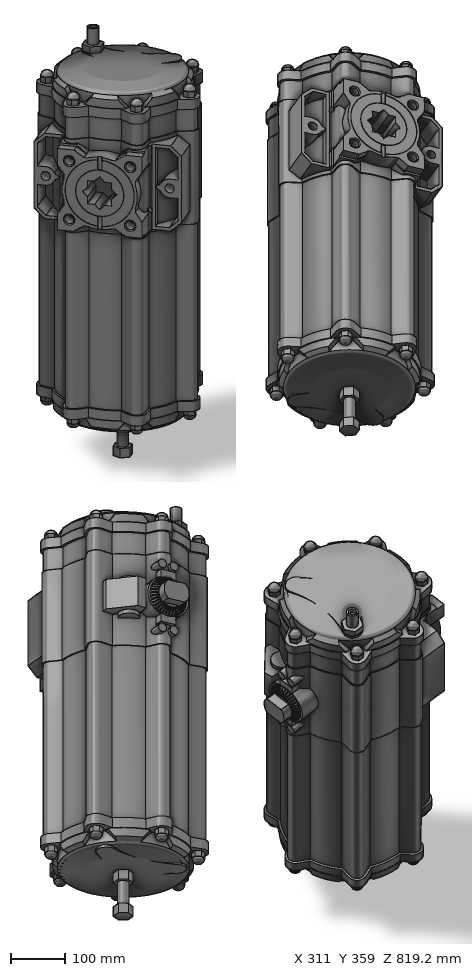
import cadquery as cq
import math


PIN_TOP = 234.8
OVERALL_HEIGHT = 819.2
ROD_BOTTOM = PIN_TOP - OVERALL_HEIGHT
BODY_TOP = 137.0
FLANGE_THICKNESS = 20.0
BODY_BOTTOM = -444.5
BODY_MIDDLE = (BODY_TOP + BODY_BOTTOM) / 2
BAND_HALF_HEIGHT = 93.0

BOLT_COUNT = 7
BOLT_CIRCLE_RADIUS = 140.0
BODY_LOBE_RADIUS = 14.4
BODY_RADIUS = 128.0
BAND_STEP = 2.4
FLANGE_STEP = 4.6
SCALLOP_HALF_WIDTH = 31.0

COVER_SEAT = BODY_TOP + FLANGE_THICKNESS
BLOCK_RADIUS = 130.5
BLOCK_HEIGHT = 17.0
DOME_RADIUS = 122.0
DOME_WALL_HEIGHT = 23.0
DOME_SHOULDER_RADIUS = 115.0
DOME_SHOULDER_HEIGHT = 28.0
DOME_ROUND_BULGE = 1.2
PLATEAU_RADIUS = 73.7
COVER_HEIGHT = 32.0
RECESS_SEAT_RADIUS = 21.0
RECESS_TOP_RADIUS = 39.0
EAR_X = 74.5
EAR_Y = 65.3
EAR_RADIUS = 20.0
EAR_TIP_ANGLE = 30.0
EAR_DEPTH = 8.0
EAR_FOOT = (65.0, 32.0)
EAR_BRIDGE_Y = 71.0

CAP_NUT_FLATS = 21.0
CAP_NUT_HEX_HEIGHT = 12.0
CAP_NUT_DOME_RADIUS = 12.0
CAP_NUT_DOME_HEIGHT = 10.5
STUD_DIAMETER = 22.0
PIN_NUT_FLATS = 36.0
PIN_NUT_HEIGHT = 13.0
PIN_SOCKET_DIAMETER = 14.95
PIN_SOCKET_DEPTH = 10.0
ROD_NUT_FLATS = 32.0
ROD_NUT_HEIGHT = 20.0
ROD_HEAD_HEIGHT = 19.0

DRIVE_FACE_Y = -164.5
STEP_Y = -146.5
PLATE_BACK_Y = -116.0
PAD_BACK_Y = -90.0
PLATE_HALF = 81.0
DISC_RADIUS = 72.0
CORNER_INNER = 49.0
CORNER_FOOT = 30.0
DISC_FLAT_END = 23.0
PAD_MARGIN = 4.0
FLANGE_HOLE_OFFSET = 58.3
FLANGE_HOLE_DIAMETER = 17.5
FLANGE_HOLE_MOUTH = 22.0
FLANGE_HOLE_DEPTH = 30.0
RING_OUTER_DIAMETER = 132.0
RING_INNER_DIAMETER = 92.0
RING_DEPTH = 1.0
SLOT_WIDTH = 8.0
SLOT_END = 73.5
SLOT_DEPTH = 3.0
STAR_SQUARE = 46.0
STAR_DEPTH = 60.0

BRACKET_FRONT_Y = -107.5
BRACKET_BACK_Y = -31.0
BRACKET_OUTER_X = 141.0
BRACKET_INNER_X = 85.0
BRACKET_HALF_HEIGHT = 85.0
BRACKET_CHAMFER_X = 20.0
BRACKET_CHAMFER_Z = 19.0
BRACKET_WALL = 6.5
POCKET_BACK_Y = -45.0
BOSS_X = 118.5
BOSS_RADIUS = 18.5
BOSS_HOLE_DIAMETER = 17.5
RIB_ANGLE = 25.0

OVERALL_DEPTH = 359.0
INDICATOR_END_Y = DRIVE_FACE_Y + OVERALL_DEPTH
HUB_FRONT_Y = 164.0
HUB_RADIUS = 39.0
HUB_WIDTH = 87.5
CONE_END_Y = 175.0
CONE_END_DIAMETER = 56.0
BAR_DIAMETER = 53.4
BAR_HEIGHT = 38.0
TOOTH_COUNT = 36
TOOTH_GAP = 2.0
TOOTH_DEPTH = 2.5
MOUNT_PIN_DIAMETER = 17.29
MOUNT_PIN_X = 12.5
MOUNT_PIN_Z = 65.0
MOUNT_RAIL_WIDTH = 32.0
MOUNT_RAIL_HEIGHT = 106.0

PORT_OUTLINE = [(40, 100), (44, 157), (62, 159), (105, 115.5), (105, 100)]
PORT_HALF_HEIGHT = 30.0
PORT_STEP_CENTER = (58.0, 119.0)
PORT_STEP_RADIUS = 20.0
PORT_STEP_HALF_HEIGHT = 38.0


def prism_xz(sketch_plane_y):
    """Workplane in the XZ plane at the given Y; positive extrusion goes toward -Y."""
    return cq.Workplane("XZ", origin=(0, sketch_plane_y, 0))


def polar(radius, degrees):
    angle = math.radians(degrees)
    return (radius * math.cos(angle), radius * math.sin(angle))


def bolt_angles():
    return [90 + i * 360 / BOLT_COUNT for i in range(BOLT_COUNT)]


def lobed_prism(bottom, top, step):
    """Housing section: arcs about the axis joined by straight flanks to round bolt lobes."""
    radius = BODY_RADIUS + step
    lobe = BODY_LOBE_RADIUS + step
    half_pitch = 180 / BOLT_COUNT
    arc_end = half_pitch - math.degrees(math.asin(SCALLOP_HALF_WIDTH / radius))
    end_u, end_v = polar(radius, arc_end)
    distance = math.hypot(end_u - BOLT_CIRCLE_RADIUS, end_v)
    direction = math.atan2(end_v, end_u - BOLT_CIRCLE_RADIUS)
    tangent = direction - math.acos(lobe / distance)
    touch_u = BOLT_CIRCLE_RADIUS + lobe * math.cos(tangent)
    touch_v = lobe * math.sin(tangent)
    touch_radius = math.hypot(touch_u, touch_v)
    touch_angle = math.degrees(math.atan2(touch_v, touch_u))

    angles = bolt_angles()
    wire = cq.Workplane("XY", origin=(0, 0, bottom)).moveTo(*polar(radius, angles[0] - arc_end))
    for angle in angles:
        wire = wire.lineTo(*polar(touch_radius, angle - touch_angle))
        wire = wire.threePointArc(
            polar(BOLT_CIRCLE_RADIUS + lobe, angle),
            polar(touch_radius, angle + touch_angle),
        )
        wire = wire.lineTo(*polar(radius, angle + arc_end))
        wire = wire.threePointArc(
            polar(radius, angle + half_pitch),
            polar(radius, angle + 2 * half_pitch - arc_end),
        )
    return wire.close().extrude(top - bottom)


def hex_prism(x, y, bottom, flats, height):
    """Vertical hexagon with two corners along Y."""
    corner_diameter = flats / math.cos(math.pi / 6)
    plane = cq.Workplane("XY", origin=(x, y, bottom)).transformed(rotate=(0, 0, 90))
    return plane.polygon(6, corner_diameter).extrude(height)


def cylinder_z(x, y, bottom, diameter, height):
    return cq.Workplane("XY", origin=(x, y, bottom)).circle(diameter / 2).extrude(height)


def cap_nut(x, y):
    """Hexagon with a domed cap, seated on the cover flange."""
    nut = hex_prism(x, y, COVER_SEAT, CAP_NUT_FLATS, CAP_NUT_HEX_HEIGHT)
    dome_base = COVER_SEAT + CAP_NUT_HEX_HEIGHT
    curve_side = CAP_NUT_DOME_RADIUS * math.sqrt(0.5)
    curve_rise = CAP_NUT_DOME_HEIGHT * math.sqrt(0.5)
    dome = (
        cq.Workplane("XZ", origin=(x, y, dome_base))
        .lineTo(CAP_NUT_DOME_RADIUS, 0)
        .threePointArc((curve_side, curve_rise), (0, CAP_NUT_DOME_HEIGHT))
        .close()
        .revolve(360, (0, 0, 0), (0, 1, 0))
    )
    return nut.union(dome)


def cover_plateau():
    """Flat on top of the dome that spreads into two rounded ears."""
    edge_x = EAR_FOOT[0]
    edge_y = EAR_FOOT[1]
    reach = math.hypot(EAR_X - edge_x, EAR_Y - edge_y)
    toward_ear = math.atan2(EAR_Y - edge_y, EAR_X - edge_x)
    half_angle = math.asin(EAR_RADIUS / reach)
    run = reach * math.cos(half_angle)
    touch_x = edge_x + run * math.cos(toward_ear - half_angle)
    touch_y = edge_y + run * math.sin(toward_ear - half_angle)
    crown_y = EAR_Y + EAR_RADIUS
    outer = polar(EAR_RADIUS, EAR_TIP_ANGLE)
    ear_tip_x = EAR_X + outer[0]
    ear_tip_y = EAR_Y + outer[1]
    bottom = COVER_SEAT + COVER_HEIGHT - EAR_DEPTH
    plateau = (
        cq.Workplane("XY", origin=(0, 0, bottom))
        .moveTo(edge_x, edge_y)
        .lineTo(touch_x, touch_y)
        .threePointArc((ear_tip_x, ear_tip_y), (EAR_X, crown_y))
        .threePointArc((0, EAR_BRIDGE_Y), (-EAR_X, crown_y))
        .threePointArc((-ear_tip_x, ear_tip_y), (-touch_x, touch_y))
        .lineTo(-edge_x, edge_y)
        .close()
        .extrude(EAR_DEPTH)
    )
    return plateau


def end_cover():
    """Top cover: lobed flange, domed cap, and wall blocks hollowed out around each cap nut."""
    flange = lobed_prism(BODY_TOP, COVER_SEAT, FLANGE_STEP)
    blocks = (
        cq.Workplane("XZ", origin=(0, 0, COVER_SEAT))
        .lineTo(BLOCK_RADIUS, 0)
        .lineTo(BLOCK_RADIUS, BLOCK_HEIGHT)
        .lineTo(DOME_RADIUS, DOME_WALL_HEIGHT)
        .lineTo(0, DOME_WALL_HEIGHT)
        .close()
        .revolve(360, (0, 0, 0), (0, 1, 0))
    )
    for angle in bolt_angles():
        x, y = polar(BOLT_CIRCLE_RADIUS, angle)
        recess = (
            cq.Workplane("XY", origin=(x, y, COVER_SEAT))
            .circle(RECESS_SEAT_RADIUS)
            .workplane(offset=DOME_WALL_HEIGHT)
            .circle(RECESS_TOP_RADIUS)
            .loft()
        )
        blocks = blocks.cut(recess)
    dome = (
        cq.Workplane("XZ", origin=(0, 0, COVER_SEAT))
        .lineTo(DOME_RADIUS, 0)
        .lineTo(DOME_RADIUS, DOME_WALL_HEIGHT)
        .sagittaArc((DOME_SHOULDER_RADIUS, DOME_SHOULDER_HEIGHT), -DOME_ROUND_BULGE)
        .lineTo(PLATEAU_RADIUS, COVER_HEIGHT)
        .lineTo(0, COVER_HEIGHT)
        .close()
        .revolve(360, (0, 0, 0), (0, 1, 0))
    )
    cover = flange.union(blocks).union(dome).union(cover_plateau())
    for angle in bolt_angles():
        cover = cover.union(cap_nut(*polar(BOLT_CIRCLE_RADIUS, angle)))
    return cover


def housing():
    """Lobed body with a wider band at the drive axis and a cover at each end."""
    body = lobed_prism(BODY_BOTTOM, BODY_TOP, 0)
    band = lobed_prism(-BAND_HALF_HEIGHT, BAND_HALF_HEIGHT, BAND_STEP)
    top_cover = end_cover()
    bottom_cover = top_cover.mirror("XY", (0, 0, BODY_MIDDLE))
    return body.union(band).union(top_cover).union(bottom_cover)


def stop_pin():
    """Stop screw with lock nut standing on the -X ear of the top cover."""
    base = COVER_SEAT + COVER_HEIGHT
    pin = cylinder_z(-EAR_X, EAR_Y, base, STUD_DIAMETER, PIN_TOP - base)
    nut = hex_prism(-EAR_X, EAR_Y, base, PIN_NUT_FLATS, PIN_NUT_HEIGHT)
    socket_floor = PIN_TOP - PIN_SOCKET_DEPTH
    socket = cylinder_z(-EAR_X, EAR_Y, socket_floor, PIN_SOCKET_DIAMETER, PIN_SOCKET_DEPTH)
    return pin.union(nut).cut(socket)


def bottom_rod():
    """Central stop screw below the bottom cover, with lock nut and hexagon head."""
    base = BODY_BOTTOM - FLANGE_THICKNESS - COVER_HEIGHT
    rod = cylinder_z(0, 0, ROD_BOTTOM, STUD_DIAMETER, base - ROD_BOTTOM)
    nut = hex_prism(0, 0, base - ROD_NUT_HEIGHT, ROD_NUT_FLATS, ROD_NUT_HEIGHT)
    head = hex_prism(0, 0, ROD_BOTTOM, ROD_NUT_FLATS, ROD_HEAD_HEIGHT)
    return rod.union(nut).union(head)


def drive_outline(front_y, back_y, half_x, half_z):
    """Disc with four square-cornered ears, bounded by the given half width and half height."""
    flat = math.sqrt(DISC_RADIUS ** 2 - DISC_FLAT_END ** 2)
    depth = back_y - front_y
    shape = prism_xz(back_y).circle(DISC_RADIUS).extrude(depth)
    ear = [
        (0, 0),
        (flat, DISC_FLAT_END),
        (flat, CORNER_FOOT),
        (half_x, CORNER_INNER),
        (half_x, half_z),
        (CORNER_INNER, half_z),
        (CORNER_FOOT, flat),
        (DISC_FLAT_END, flat),
    ]
    for side_x in (-1, 1):
        for side_z in (-1, 1):
            points = [(side_x * x, side_z * z) for x, z in ear]
            shape = shape.union(prism_xz(back_y).polyline(points).close().extrude(depth))
    return shape


def drive_flange():
    pad_half = PLATE_HALF + PAD_MARGIN
    plate = drive_outline(DRIVE_FACE_Y, STEP_Y, PLATE_HALF, PLATE_HALF)
    shoulder = drive_outline(STEP_Y, PLATE_BACK_Y, PLATE_HALF, pad_half)
    pad = drive_outline(PLATE_BACK_Y, PAD_BACK_Y, pad_half, pad_half)
    return plate.union(shoulder).union(pad)


def cut_drive_details(part):
    """Cut the face ring, locating slots, eight-pointed drive bore and mounting holes."""
    face = prism_xz(DRIVE_FACE_Y)
    ring = face.circle(RING_OUTER_DIAMETER / 2).circle(RING_INNER_DIAMETER / 2).extrude(-RING_DEPTH)
    part = part.cut(ring)
    slot_start = RING_INNER_DIAMETER / 2
    slot_length = SLOT_END - slot_start
    slot_middle = (SLOT_END + slot_start) / 2
    slots = (
        face.pushPoints([(0, slot_middle), (0, -slot_middle)])
        .rect(SLOT_WIDTH, slot_length)
        .extrude(-SLOT_DEPTH)
    )
    part = part.cut(slots)
    for turn in (0, 45):
        square = face.transformed(rotate=(0, 0, turn)).rect(STAR_SQUARE, STAR_SQUARE)
        part = part.cut(square.extrude(-STAR_DEPTH))
    mouth_depth = (FLANGE_HOLE_MOUTH - FLANGE_HOLE_DIAMETER) / 2
    hole_centers = [
        (sx * FLANGE_HOLE_OFFSET, sz * FLANGE_HOLE_OFFSET) for sx in (-1, 1) for sz in (-1, 1)
    ]
    holes = face.pushPoints(hole_centers).circle(FLANGE_HOLE_DIAMETER / 2).extrude(-FLANGE_HOLE_DEPTH)
    mouths = face.pushPoints(hole_centers).circle(FLANGE_HOLE_MOUTH / 2).extrude(-mouth_depth, taper=45)
    return part.cut(holes).cut(mouths)


def bracket_outline(outer_x, inner_x, half_height, chamfer_x, chamfer_z):
    return [
        (inner_x, -half_height),
        (outer_x - chamfer_x, -half_height),
        (outer_x, -half_height + chamfer_z),
        (outer_x, half_height - chamfer_z),
        (outer_x - chamfer_x, half_height),
        (inner_x, half_height),
    ]


def side_bracket():
    """Open box on the +X side with a mounting boss growing from its outer wall."""
    depth = BRACKET_BACK_Y - BRACKET_FRONT_Y
    outer = bracket_outline(
        BRACKET_OUTER_X, BRACKET_INNER_X, BRACKET_HALF_HEIGHT, BRACKET_CHAMFER_X, BRACKET_CHAMFER_Z
    )
    pocket_outer_x = BRACKET_OUTER_X - BRACKET_WALL
    pocket_inner_x = BRACKET_INNER_X + BRACKET_WALL
    inner = bracket_outline(
        pocket_outer_x,
        pocket_inner_x,
        BRACKET_HALF_HEIGHT - BRACKET_WALL,
        BRACKET_CHAMFER_X - BRACKET_WALL / 2,
        BRACKET_CHAMFER_Z - BRACKET_WALL / 2,
    )
    pocket_depth = POCKET_BACK_Y - BRACKET_FRONT_Y
    box = prism_xz(BRACKET_BACK_Y).polyline(outer).close().extrude(depth)
    pocket = prism_xz(POCKET_BACK_Y).polyline(inner).close().extrude(pocket_depth)
    boss_round = prism_xz(POCKET_BACK_Y).center(BOSS_X, 0).circle(BOSS_RADIUS).extrude(pocket_depth)
    touch_x, touch_z = polar(BOSS_RADIUS, RIB_ANGLE)
    rib = [
        (pocket_inner_x, 0),
        (BOSS_X - touch_x, touch_z),
        (BOSS_X, BOSS_RADIUS),
        (BRACKET_OUTER_X, BOSS_RADIUS),
        (BRACKET_OUTER_X, -BOSS_RADIUS),
        (BOSS_X, -BOSS_RADIUS),
        (BOSS_X - touch_x, -touch_z),
    ]
    web = prism_xz(POCKET_BACK_Y).polyline(rib).close().extrude(pocket_depth)
    hole = prism_xz(POCKET_BACK_Y).center(BOSS_X, 0).circle(BOSS_HOLE_DIAMETER / 2).extrude(pocket_depth)
    return box.cut(pocket).union(boss_round).union(web).cut(hole)


def indicator():
    """Hub, toothed cone and flatted turning bar on the drive axis."""
    hub = prism_xz(HUB_FRONT_Y).slot2D(HUB_WIDTH, 2 * HUB_RADIUS).extrude(HUB_FRONT_Y)
    cone = (
        prism_xz(HUB_FRONT_Y)
        .circle(HUB_RADIUS)
        .workplane(offset=HUB_FRONT_Y - CONE_END_Y)
        .circle(CONE_END_DIAMETER / 2)
        .loft()
    )
    cone_length = CONE_END_Y - HUB_FRONT_Y
    slope = math.degrees(math.atan2(HUB_RADIUS - CONE_END_DIAMETER / 2, cone_length))
    middle_radius = (HUB_RADIUS + CONE_END_DIAMETER / 2) / 2
    gap = (
        cq.Workplane("XY")
        .box(TOOTH_GAP, 2 * HUB_RADIUS, 2 * TOOTH_DEPTH)
        .rotate((0, 0, 0), (1, 0, 0), -slope)
        .translate((0, HUB_FRONT_Y + cone_length / 2, middle_radius))
    )
    for i in range(TOOTH_COUNT):
        cone = cone.cut(gap.rotate((0, 0, 0), (0, 1, 0), i * 360 / TOOTH_COUNT))
    bar_length = INDICATOR_END_Y - HUB_FRONT_Y
    bar = prism_xz(INDICATOR_END_Y).circle(BAR_DIAMETER / 2).extrude(bar_length)
    flats = prism_xz(INDICATOR_END_Y).rect(BAR_DIAMETER, BAR_HEIGHT).extrude(bar_length)
    return hub.union(cone).union(bar.intersect(flats))


def indicator_mount():
    """Rail behind the hub and four mounting pins around it."""
    depth = HUB_FRONT_Y / 2
    base = prism_xz(HUB_FRONT_Y)
    centers = [(sx * MOUNT_PIN_X, sz * MOUNT_PIN_Z) for sx in (-1, 1) for sz in (-1, 1)]
    pins = base.pushPoints(centers).circle(MOUNT_PIN_DIAMETER / 2).extrude(depth)
    return base.rect(MOUNT_RAIL_WIDTH, MOUNT_RAIL_HEIGHT).extrude(depth).union(pins)


def port_block():
    """Port block with a taller round step beside the housing."""
    block = (
        cq.Workplane("XY", origin=(0, 0, -PORT_HALF_HEIGHT))
        .polyline(PORT_OUTLINE)
        .close()
        .extrude(2 * PORT_HALF_HEIGHT)
    )
    step = cylinder_z(
        PORT_STEP_CENTER[0],
        PORT_STEP_CENTER[1],
        -PORT_STEP_HALF_HEIGHT,
        2 * PORT_STEP_RADIUS,
        2 * PORT_STEP_HALF_HEIGHT,
    )
    return block.union(step)


bracket = side_bracket()
result = housing().union(bracket).union(bracket.mirror("YZ")).union(drive_flange())
result = result.union(indicator()).union(indicator_mount()).union(port_block())
result = result.union(stop_pin()).union(bottom_rod())
result = cut_drive_details(result)